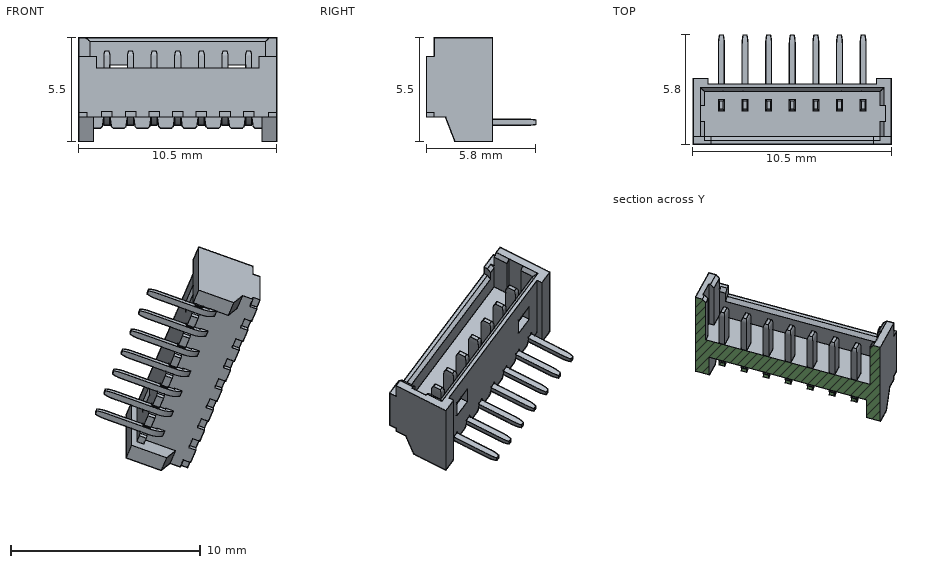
import cadquery as cq


WIDTH = 10.5
HEIGHT = 5.5
DEPTH = 3.5
BASE_Z = 1.3
FLOOR_Z = 2.56
END_WALL = 0.6
FRONT_WALL = 0.41
BACK_RECESS = 0.29
BACK_WALL = 0.4
LEAD_IN = 0.2
FRONT_RIM_Z = 4.52
WINDOW_Z = 3.91
WINDOW_SIDE = 0.96

FOOT_WIDTH = 0.8
FOOT_TOP_Y = 1.0
FOOT_TIP_Y = 1.5

GROOVE_FRONT_Y = 1.21
GROOVE_BACK_Y = 2.07
LEFT_GROOVE_WALL = 0.4
RIGHT_GROOVE_WALL = 0.3

CORNER_NOTCH_WIDTH = 0.45
CORNER_NOTCH_HEIGHT = 0.25
PIN_NOTCH_WIDTH = 0.56
PIN_NOTCH_HEIGHT = 0.3
NOTCH_DEPTH = FRONT_WALL

OPENING_WIDTH = 1.06
OPENING_BOTTOM_Z = 2.88
OPENING_TOP_Z = 4.05

COMB_BOTTOM_Z = 0.7
CHANNEL_FLARE = 0.1
CHANNEL_MOUTH_WIDTH = 0.46

PIN_COUNT = 7
PITCH = 1.25
PIN_WIDTH = 0.33
BLADE_DEPTH = 0.61
BLADE_Y = 2.08
BLADE_TOP_Z = 4.81
BLADE_TIP = 0.29
BLADE_TIP_WIDTH = 0.19
BLADE_TIP_DEPTH = 0.42
LEG_END_Y = 5.8
LEG_BOTTOM_Z = 0.86
LEG_HEIGHT = 0.34
LEG_TIP = 0.5
LEG_TIP_WIDTH = 0.21
LEG_TIP_HEIGHT = 0.25
BEND_RADIUS = 1.0

HALF = WIDTH / 2
BACK_FACE_Y = DEPTH - BACK_RECESS
CAVITY_BACK_Y = BACK_FACE_Y - BACK_WALL
PIN_X = [(i - (PIN_COUNT - 1) / 2) * PITCH for i in range(PIN_COUNT)]


def block(x0, x1, y0, y1, z0, z1):
    return cq.Workplane("XY").box(x1 - x0, y1 - y0, z1 - z0, centered=False).translate((x0, y0, z0))


def bar_along_x(side_points, x0, x1):
    """Extrude a closed outline of (y, z) points from x0 to x1."""
    return cq.Workplane("YZ").polyline(side_points).close().extrude(x1 - x0).translate((x0, 0, 0))


def housing_shell():
    side_outline = [
        (0, BASE_Z), (0, FRONT_RIM_Z), (FRONT_WALL, FRONT_RIM_Z), (FRONT_WALL, HEIGHT),
        (DEPTH, HEIGHT), (DEPTH, 0), (FOOT_TIP_Y, 0), (FOOT_TOP_Y, BASE_Z),
    ]
    inner_half = HALF - FOOT_WIDTH
    shell = bar_along_x(side_outline, -HALF, HALF)
    shell = shell.cut(block(-inner_half, inner_half, 0, DEPTH, 0, BASE_Z))
    return shell.cut(block(-inner_half, inner_half, BACK_FACE_Y, DEPTH, 0, HEIGHT))


def cavity():
    half = HALF - END_WALL
    room = block(-half, half, FRONT_WALL, CAVITY_BACK_Y, FLOOR_Z, HEIGHT)
    return room.union(block(-half, half, 0, FRONT_WALL, FRONT_RIM_Z, HEIGHT))


def mouth_lead_in():
    """Sloped mouth along the back wall and both end walls."""
    half = HALF - END_WALL
    depth = 2 * CAVITY_BACK_Y
    return (
        cq.Workplane("XY").workplane(offset=HEIGHT - LEAD_IN)
        .rect(2 * half, depth)
        .workplane(offset=LEAD_IN)
        .rect(2 * (half + LEAD_IN), depth + 2 * LEAD_IN)
        .loft(ruled=True)
    )


def front_lead_in(top_z, half_width):
    """Wedge that bevels the inner top edge of the front wall."""
    outline = [(FRONT_WALL, top_z), (FRONT_WALL - LEAD_IN, top_z), (FRONT_WALL, top_z - LEAD_IN)]
    return bar_along_x(outline, -half_width, half_width)


def front_window():
    half = HALF - WINDOW_SIDE
    return block(-half, half, 0, FRONT_WALL, WINDOW_Z, FRONT_RIM_Z)


def end_grooves():
    left = block(-HALF + LEFT_GROOVE_WALL, 0, GROOVE_FRONT_Y, GROOVE_BACK_Y, FLOOR_Z, HEIGHT)
    right = block(0, HALF - RIGHT_GROOVE_WALL, GROOVE_FRONT_Y, GROOVE_BACK_Y, FLOOR_Z, HEIGHT)
    return left.union(right)


def lower_notches():
    corner_top = BASE_Z + CORNER_NOTCH_HEIGHT
    notches = block(-HALF, -HALF + CORNER_NOTCH_WIDTH, 0, NOTCH_DEPTH, BASE_Z, corner_top)
    notches = notches.union(notches.mirror("YZ"))
    half = PIN_NOTCH_WIDTH / 2
    for x in PIN_X:
        notches = notches.union(
            block(x - half, x + half, 0, NOTCH_DEPTH, BASE_Z, BASE_Z + PIN_NOTCH_HEIGHT)
        )
    return notches


def back_openings():
    """One opening between the two outermost pins at each end."""
    centre = (PIN_X[0] + PIN_X[1]) / 2
    half = OPENING_WIDTH / 2
    left = block(
        centre - half, centre + half, CAVITY_BACK_Y, BACK_FACE_Y, OPENING_BOTTOM_Z, OPENING_TOP_Z
    )
    return left.union(left.mirror("YZ"))


def comb():
    inner_half = HALF - FOOT_WIDTH
    body = block(-inner_half, inner_half, CAVITY_BACK_Y, BACK_FACE_Y, COMB_BOTTOM_Z, BASE_Z)
    top_half = PIN_WIDTH / 2
    mouth_half = CHANNEL_MOUTH_WIDTH / 2
    flare_half = mouth_half + CHANNEL_FLARE
    flare_z = COMB_BOTTOM_Z + CHANNEL_FLARE
    channel = (
        cq.Workplane("XZ")
        .polyline([
            (-top_half, BASE_Z), (top_half, BASE_Z),
            (mouth_half, flare_z), (flare_half, COMB_BOTTOM_Z),
            (-flare_half, COMB_BOTTOM_Z), (-mouth_half, flare_z),
        ])
        .close()
        .extrude(-BACK_FACE_Y)
    )
    for x in PIN_X:
        body = body.cut(channel.translate((x, 0, 0)))
    return body


def rounded_profile(plane, width, tip_width, length, tip_length, thickness):
    """Strip that rises from the origin and narrows in two tangent arcs to a flat end."""
    shoulder = length - tip_length
    narrowing = (width - tip_width) / 2
    radius = (tip_length**2 + narrowing**2) / (2 * narrowing)
    return (
        cq.Workplane(plane)
        .moveTo(-width / 2, 0)
        .lineTo(width / 2, 0)
        .lineTo(width / 2, shoulder)
        .radiusArc((tip_width / 2, length), -radius)
        .lineTo(-tip_width / 2, length)
        .radiusArc((-width / 2, shoulder), -radius)
        .close()
        .extrude(thickness / 2, both=True)
    )


def tipped_bar(width, depth, length, tip_width, tip_depth, tip_length):
    """Upright bar from Z = 0 whose top end is rounded on all four sides."""
    across_x = rounded_profile("XZ", width, tip_width, length, tip_length, depth)
    across_y = rounded_profile("YZ", depth, tip_depth, length, tip_length, width)
    return across_x.intersect(across_y)


def pin():
    front_y = BLADE_Y - BLADE_DEPTH / 2
    back_y = BLADE_Y + BLADE_DEPTH / 2
    bend_y = front_y + BEND_RADIUS
    bend_z = LEG_BOTTOM_Z + BEND_RADIUS
    leg_top_z = LEG_BOTTOM_Z + LEG_HEIGHT

    blade = tipped_bar(
        PIN_WIDTH, BLADE_DEPTH, BLADE_TOP_Z - bend_z, BLADE_TIP_WIDTH, BLADE_TIP_DEPTH, BLADE_TIP
    ).translate((0, BLADE_Y, bend_z))
    leg = (
        tipped_bar(PIN_WIDTH, LEG_HEIGHT, LEG_END_Y - bend_y, LEG_TIP_WIDTH, LEG_TIP_HEIGHT, LEG_TIP)
        .rotate((0, 0, 0), (1, 0, 0), -90)
        .translate((0, bend_y, LEG_BOTTOM_Z + LEG_HEIGHT / 2))
    )
    bend = (
        cq.Workplane("YZ")
        .moveTo(back_y, bend_z)
        .lineTo(front_y, bend_z)
        .radiusArc((bend_y, LEG_BOTTOM_Z), -BEND_RADIUS)
        .lineTo(bend_y, leg_top_z)
        .lineTo(back_y, leg_top_z)
        .close()
        .extrude(PIN_WIDTH / 2, both=True)
    )
    return blade.union(bend).union(leg)


housing = housing_shell().cut(cavity()).cut(mouth_lead_in())
housing = housing.cut(front_lead_in(FRONT_RIM_Z, HALF - END_WALL))
housing = housing.cut(front_window())
housing = housing.cut(front_lead_in(WINDOW_Z, HALF - WINDOW_SIDE))
housing = housing.cut(end_grooves()).cut(lower_notches()).cut(back_openings())

result = housing.union(comb())
for pin_x in PIN_X:
    result = result.union(pin().translate((pin_x, 0, 0)))